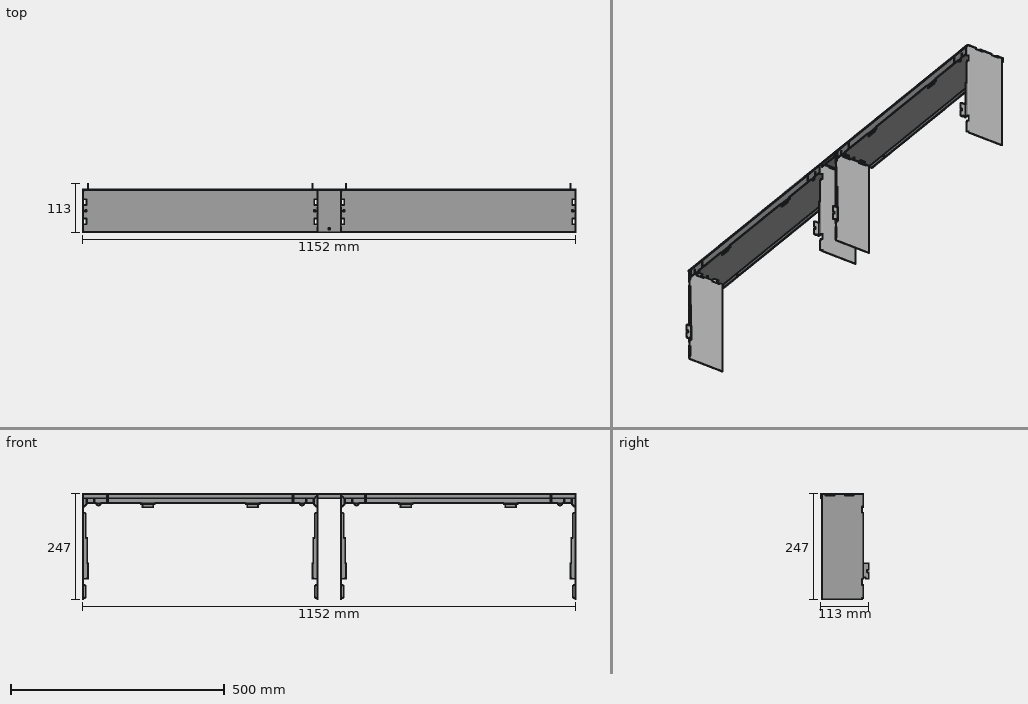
import cadquery as cq

TOTAL_LENGTH = 1152.0
HEIGHT = 247.0
TOTAL_DEPTH = 113.0
HOOK_REACH = 13.0
SHEET = 1.5
BEND_RADIUS = 3.0

SHELF_GAP = 54.0
SHELF_LENGTH = (TOTAL_LENGTH - SHELF_GAP) / 2
DEPTH = TOTAL_DEPTH - HOOK_REACH
LEG_FRONT = 3.0

FRONT_LIP_HEIGHT = 11.0
FRONT_LIP_CHAMFER = 8.0
BACK_LIP_HEIGHT = 22.0
LIP_SLOT_X = 57.5
LIP_SLOT_WIDTH = 2.0
LIP_SLOT_TOP = 3.0
LIP_SLIT_X = 26.5
LIP_SLIT_WIDTH = 1.5
CORNER_GAP = 1.0

ROUND_TAB_X = 36.7
ROUND_TAB_RADIUS = 5.5
ROUND_TAB_THICKNESS = 3.0
OFFSET_TAB_X = 152.0
OFFSET_TAB_WIDTH = 33.0
OFFSET_TAB_STEP = 4.0
STEP_HEIGHT = 3.0
TONGUE_WIDTH = 26.0
TONGUE_BOTTOM = 32.0

CORNER_FLANGE_WIDTH = 9.0
CORNER_FLANGE_BOTTOM = 30.0
CORNER_FLANGE_CHAMFER = 5.5
FLANGE_WIDTH = 7.3
FLANGE_CHAMFER = 3.0
HOOK_FLANGE_TOP = 44.0
HOOK_FLANGE_STEP = 103.0
HOOK_FLANGE_BOTTOM = 199.0
HOOK_FLANGE_WIDTH = 10.8
FOOT_FLANGE_TOP = 213.0
FOOT_FLANGE_BOTTOM = 244.0

HOOK_X = 12.8
HOOK_TOP = 162.0
HOOK_WAIST = 181.0
HOOK_NOTCH_DIAMETER = 6.0
HOOK_NECK = 5.0
HOOK_CORNER = 3.0

BEND_SLOT_WIDTH = 8.0
BEND_SLOT_LENGTH = 13.0
BEND_SLOT_BACK_ENDS = (32.0, 77.0)
LEG_SLOT_LENGTH = 20.0
LEG_SLOT_DROP = 4.0
TOP_HOLE_DIAMETER = 3.6
TOP_HOLE_X = 7.2
TOP_HOLE_Y = 50.0

BRIDGE_LIP_HEIGHT = 11.0
BRIDGE_HOLE_DIAMETER = 3.8
BRIDGE_HOLE_Y = 8.0


def block(x, y, z):
    """Box given by its (low, high) limits on each axis."""
    size = [high - low for low, high in (x, y, z)]
    return cq.Workplane("XY").box(*size, centered=False).translate((x[0], y[0], z[0]))


def hole_cutter(x, y, diameter):
    """Cylinder that pierces the top sheet."""
    return cq.Workplane("XY", origin=(x, y, -SHEET)).circle(diameter / 2).extrude(SHEET)


def shelf_top():
    """Top sheet with a full-length rounded front lip and a back lip ending at the corner flanges."""
    top = block((0, SHELF_LENGTH), (0, DEPTH), (-SHEET, 0))
    front_lip = block((0, SHELF_LENGTH), (0, SHEET), (-FRONT_LIP_HEIGHT, 0))
    back_lip_ends = CORNER_FLANGE_WIDTH + CORNER_GAP
    back_lip = block(
        (back_lip_ends, SHELF_LENGTH - back_lip_ends), (DEPTH - SHEET, DEPTH), (-BACK_LIP_HEIGHT, 0)
    )
    folded = top.union(front_lip).edges("|X and <Y and >Z").fillet(SHEET)
    return folded.union(back_lip)


def leg_sheet(top, bottom, flange):
    """Stretch of leg whose back edge is bent inward into a flange of the given width."""
    profile = (
        cq.Workplane("XY", origin=(0, 0, -bottom))
        .moveTo(0, LEG_FRONT)
        .lineTo(SHEET, LEG_FRONT)
        .lineTo(SHEET, DEPTH - BEND_RADIUS)
        .radiusArc((BEND_RADIUS, DEPTH - SHEET), BEND_RADIUS - SHEET)
        .lineTo(flange, DEPTH - SHEET)
        .lineTo(flange, DEPTH)
        .lineTo(BEND_RADIUS, DEPTH)
        .radiusArc((0, DEPTH - BEND_RADIUS), -BEND_RADIUS)
        .close()
    )
    return profile.extrude(bottom - top)


def leg():
    """Flat leg with a corner flange, a stepped hook flange and a foot flange."""
    flat = block((0, SHEET), (LEG_FRONT, DEPTH - BEND_RADIUS), (-HEIGHT, 0))
    corner = leg_sheet(0, CORNER_FLANGE_BOTTOM, CORNER_FLANGE_WIDTH)
    corner = corner.edges("|Y and >X and <Z").chamfer(CORNER_FLANGE_CHAMFER)
    upper = leg_sheet(HOOK_FLANGE_TOP, HOOK_FLANGE_STEP, FLANGE_WIDTH)
    upper = upper.edges("|Y and >X and >Z").chamfer(FLANGE_CHAMFER)
    middle = leg_sheet(HOOK_FLANGE_STEP, HOOK_FLANGE_BOTTOM, HOOK_FLANGE_WIDTH)
    foot = leg_sheet(FOOT_FLANGE_TOP, FOOT_FLANGE_BOTTOM, FLANGE_WIDTH)
    foot = foot.edges("|Y and >X").chamfer(FLANGE_CHAMFER)
    return flat.union(corner).union(upper).union(middle).union(foot)


def hook():
    """Plate bent backward from the hook flange, with two lobes parted by a rounded notch."""
    neck = block(
        (BEND_RADIUS, HOOK_X), (DEPTH - SHEET, DEPTH), (-HOOK_FLANGE_BOTTOM + HOOK_CORNER, -HOOK_TOP)
    )
    plate = block((HOOK_X - SHEET, HOOK_X), (DEPTH - SHEET, TOTAL_DEPTH), (-HOOK_FLANGE_BOTTOM, -HOOK_TOP))
    plate = plate.edges("|X and >Y").fillet(HOOK_CORNER)
    lower_relief = block(
        (0, HOOK_X), (DEPTH, DEPTH + HOOK_NECK), (-HOOK_FLANGE_BOTTOM, -HOOK_FLANGE_BOTTOM + HOOK_CORNER)
    )
    notch = (
        cq.Workplane("YZ")
        .center(TOTAL_DEPTH, -HOOK_WAIST)
        .slot2D(2 * HOOK_NECK, HOOK_NOTCH_DIAMETER)
        .extrude(HOOK_X)
    )
    return neck.union(plate.cut(lower_relief).cut(notch))


def back_lip_tabs():
    """Round tab and stepped tab near one end of the back lip."""
    round_tab = (
        cq.Workplane("XZ", origin=(ROUND_TAB_X, DEPTH, -BACK_LIP_HEIGHT))
        .moveTo(-ROUND_TAB_RADIUS, 0)
        .threePointArc((0, -ROUND_TAB_RADIUS), (ROUND_TAB_RADIUS, 0))
        .close()
        .extrude(ROUND_TAB_THICKNESS)
    )
    step_x = (OFFSET_TAB_X - OFFSET_TAB_WIDTH / 2, OFFSET_TAB_X + OFFSET_TAB_WIDTH / 2)
    tongue_x = (OFFSET_TAB_X - TONGUE_WIDTH / 2, OFFSET_TAB_X + TONGUE_WIDTH / 2)
    step_front = DEPTH - OFFSET_TAB_STEP
    step_bottom = BACK_LIP_HEIGHT + STEP_HEIGHT
    step = block(step_x, (step_front, DEPTH), (-step_bottom, -BACK_LIP_HEIGHT))
    tongue = block(tongue_x, (DEPTH - SHEET, DEPTH), (-TONGUE_BOTTOM, -step_bottom))
    return round_tab.union(step).union(tongue)


def bend_rounding():
    """Waste outside the rounded bend between the shelf top and its leg."""
    corner = block((0, SHEET), (0, DEPTH), (-SHEET, 0))
    bend = cq.Workplane("XZ", origin=(SHEET, DEPTH, -SHEET)).circle(SHEET).extrude(DEPTH)
    return corner.cut(bend)


def end_openings():
    """Cuts near one end: relief slots in the lips, slots over the leg bend and the top hole."""
    slot_x = (LIP_SLOT_X - LIP_SLOT_WIDTH / 2, LIP_SLOT_X + LIP_SLOT_WIDTH / 2)
    slit_x = (LIP_SLIT_X - LIP_SLIT_WIDTH / 2, LIP_SLIT_X + LIP_SLIT_WIDTH / 2)
    front_slot = block(slot_x, (0, SHEET), (-FRONT_LIP_HEIGHT, -LIP_SLOT_TOP))
    back_slot = block(slot_x, (DEPTH - SHEET, DEPTH), (-BACK_LIP_HEIGHT, -LIP_SLOT_TOP))
    back_slit = block(slit_x, (DEPTH - SHEET, DEPTH), (-BACK_LIP_HEIGHT, -FRONT_LIP_HEIGHT))
    cuts = front_slot.union(back_slot).union(back_slit)
    for back_end in BEND_SLOT_BACK_ENDS:
        top_slot = block((0, BEND_SLOT_WIDTH), (back_end - BEND_SLOT_LENGTH, back_end), (-SHEET, 0))
        leg_slot = block((0, SHEET), (back_end - LEG_SLOT_LENGTH, back_end), (-LEG_SLOT_DROP, -SHEET))
        cuts = cuts.union(top_slot).union(leg_slot)
    return cuts.union(hole_cutter(TOP_HOLE_X, TOP_HOLE_Y, TOP_HOLE_DIAMETER))


def both_ends(feature):
    """The feature together with its mirror image at the other end of the shelf."""
    return feature.union(feature.mirror("YZ").translate((SHELF_LENGTH, 0, 0)))


def shelf():
    """Shelf from X = 0 to SHELF_LENGTH, whose far end meets the bridge."""
    body = shelf_top()
    body = body.union(both_ends(leg())).union(both_ends(hook())).union(both_ends(back_lip_tabs()))
    body = body.cut(both_ends(bend_rounding())).cut(both_ends(end_openings()))
    lip_corner = (
        cq.Workplane("XZ")
        .polyline(
            [
                (SHELF_LENGTH, -FRONT_LIP_HEIGHT),
                (SHELF_LENGTH - FRONT_LIP_CHAMFER, -FRONT_LIP_HEIGHT),
                (SHELF_LENGTH, FRONT_LIP_CHAMFER - FRONT_LIP_HEIGHT),
            ]
        )
        .close()
        .extrude(-SHEET)
    )
    return body.cut(lip_corner)


def bridge():
    """Cover plate between the shelves with a lip folded down at the back."""
    half = SHELF_GAP / 2
    plate = block((-half, half), (0, DEPTH), (-SHEET, 0))
    lip = block((-half, half), (DEPTH - SHEET, DEPTH), (-BRIDGE_LIP_HEIGHT, 0))
    hole = hole_cutter(0, BRIDGE_HOLE_Y, BRIDGE_HOLE_DIAMETER)
    return plate.union(lip).cut(hole)


left_shelf = shelf().translate((-TOTAL_LENGTH / 2, 0, 0))
right_shelf = left_shelf.mirror("YZ")
bridge_plate = bridge()

result = cq.Compound.makeCompound([left_shelf.val(), right_shelf.val(), bridge_plate.val()])